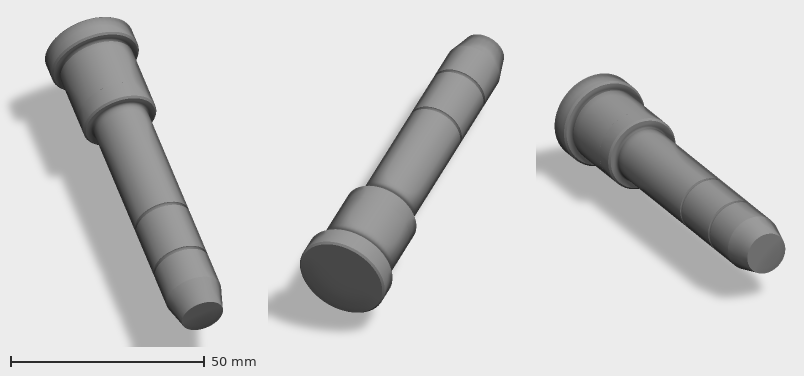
import cadquery as cq
import math

total_length = 92.0

head_diameter = 24.0
head_length = 6.0
head_chamfer = 0.5

body_diameter = 20.0
body_end = 26.0
body_chamfer = 0.5
lead_zone_length = 5.0
lead_zone_diameter = 19.98

shank_diameter = 15.0
shank_root_fillet = 0.5
tip_length = 7.0
tip_angle = 15.0

groove_radius = 0.5
shank_groove_centers = (60.0, 75.0)

head_radius = head_diameter / 2
body_radius = body_diameter / 2
lead_zone_radius = lead_zone_diameter / 2
shank_radius = shank_diameter / 2
lead_zone_start = body_end - lead_zone_length
tip_start = total_length - tip_length
tip_radius = shank_radius - tip_length * math.tan(math.radians(tip_angle))


def add_groove(profile, center_x, surface_radius):
    """Run the outline along a surface and dip through a half-round groove in it."""
    bottom = (center_x, surface_radius - groove_radius)
    far_edge = (center_x + groove_radius, surface_radius)
    return profile.lineTo(center_x - groove_radius, surface_radius).threePointArc(bottom, far_edge)


def add_head(profile):
    """Outline of the chamfered head disc, ending on the rim facing the body."""
    rim_radius = head_radius - head_chamfer
    return (
        profile.lineTo(0, rim_radius)
        .lineTo(head_chamfer, head_radius)
        .lineTo(head_length - head_chamfer, head_radius)
        .lineTo(head_length, rim_radius)
    )


def add_body(profile):
    """Outline of the locating body; a shallow step starts the lead zone."""
    profile = add_groove(profile, head_length + groove_radius, body_radius)
    return (
        profile.lineTo(lead_zone_start, body_radius)
        .lineTo(lead_zone_start, lead_zone_radius)
        .lineTo(body_end - body_chamfer, lead_zone_radius)
        .lineTo(body_end, lead_zone_radius - body_chamfer)
    )


def add_shank(profile):
    """Outline of the shank: root fillet, ring grooves and tapered tip."""
    fillet_end = (body_end + shank_root_fillet, shank_radius)
    fillet_inset = shank_root_fillet * (1 - math.sqrt(0.5))
    fillet_middle = (body_end + fillet_inset, shank_radius + fillet_inset)
    profile = profile.lineTo(body_end, shank_radius + shank_root_fillet)
    profile = profile.threePointArc(fillet_middle, fillet_end)
    for center_x in shank_groove_centers:
        profile = add_groove(profile, center_x, shank_radius)
    return (
        profile.lineTo(tip_start, shank_radius)
        .lineTo(total_length, tip_radius)
        .lineTo(total_length, 0)
    )


outline = add_shank(add_body(add_head(cq.Workplane("XY")))).close()
result = outline.revolve(360, (0, 0, 0), (1, 0, 0))